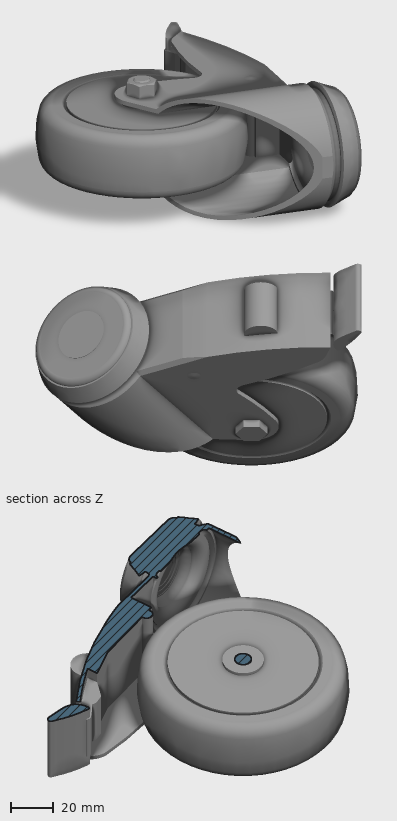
import cadquery as cq
import math


WHEEL_RADIUS = 50.0
TREAD_EDGE_RADIUS = 48.5
TREAD_HALF_WIDTH = 11.0
WHEEL_HALF_WIDTH = 15.8
SIDE_FLAT_RADIUS = 41.8
SHOULDER_BULGE = (46.6, 14.3)
GROOVE_OUTER_RADIUS = 37.4
DISC_RADIUS = 71 / 2
GROOVE_DEPTH = 1.6
GROOVE_FLOOR_WIDTH = 0.5
HUB_RADIUS = 19.5 / 2
HUB_HALF_WIDTH = 17.4
AXLE_RADIUS = 8 / 2

SHEET = 2.1
PLATE_HALF_WIDTH = 20.2
CHANNEL_HALF_WIDTH = PLATE_HALF_WIDTH - SHEET
SWIVEL_X = 43.5
CROWN_RADIUS = 29.8
CROWN_INNER_RADIUS = CROWN_RADIUS - SHEET
FORK_TOP = 69.6
FORK_CEILING = FORK_TOP - SHEET
FORK_BEVEL = 2.0
CROWN_TOP = 70.1
CROWN_REAR_X = 72.9
CROWN_BEND_RADIUS = 26.5
BACK_ARC_CENTRE = (17.1, -99.3)
BACK_ARC_RADIUS = 170.1
AXLE_BOSS_RADIUS = 12.7
BOSS_TANGENT_ANGLE = -57.0
BOSS_MIDDLE_ANGLE = -120.0
FORK_TIP = (-69.6, 46.9)

HEAD_RADIUS = 60.0 / 2
HEAD_BOTTOM = 73.2
HEAD_CONE_TOP = 82.0
CAP_EDGE = 82.5
HEAD_CONE_TOP_RADIUS = 26.5
CAP_RADIUS = 25.6
CAP_FLAT_RADIUS = 22.4
CAP_TOP = 84.6
CAP_BULGE = (24.5, 84.2)
PAD_RADIUS = 12.3
PAD_TOP = 85.0
LIP_RADIUS = 28.0
LIP_BOTTOM = 72.7
COLLAR_RADIUS = 27.1
NECK_RADIUS = 53.7 / 2
NECK_BOTTOM = 71.6
RACE_RADIUS = 47.5 / 2
RACE_BOTTOM = 66.7
RACE_ROUND = 4.8
SOCKET_RADIUS = 31.6 / 2
SOCKET_CONE_TOP = 75.8
SOCKET_CONE_TOP_RADIUS = 12.9
SOCKET_FLOOR = 76.1
SOCKET_FLOOR_RADIUS = 12.3
RECESS_RADII = (20.0 / 2, 7.9)
RECESS_STEP = 0.5

PADDLE_HALF_WIDTH = CHANNEL_HALF_WIDTH
STEM_HALF_WIDTH = 11.8
KNOB_CENTRE = (-40.1, 61.3)
KNOB_RADIUS = 7.9
ARM_START = (-47.5, 50.3)
ARM_END = (4.8, 55.8)
PIVOT = (-0.5, 55.1)
PIVOT_RADIUS = 3.0
PIVOT_DOME = 0.3

HEX_ACROSS_FLATS = 13.0
HEX_CORNER_RADIUS = HEX_ACROSS_FLATS / math.sqrt(3)
HEX_FACE_RADIUS = 12.3 / 2
BOLT_HEAD_END = -24.0
NUT_END = 27.0
BOLT_END = 27.7
BOLT_END_CHAMFER = 0.6

BIG = 322.5


def polar(radius, degrees):
    angle = math.radians(degrees)
    return radius * math.cos(angle), radius * math.sin(angle)


def slab(wire, half_width):
    """Extrudes a closed outline in XY evenly to both sides of the middle plane."""
    return wire.extrude(half_width, both=True)


def rod(radius, z_start, z_end, centre=(0, 0)):
    start = cq.Workplane("XY").workplane(offset=z_start)
    return start.center(*centre).circle(radius).extrude(z_end - z_start)


def swivel_turned(outline):
    """Revolves a closed (radius, height) outline about the swivel axis."""
    return outline.revolve(360, (0, 0, 0), (0, 1, 0)).translate((SWIVEL_X, 0, 0))


def swivel_cylinder(radius, bottom, top):
    corners = [(0, bottom), (radius, bottom), (radius, top), (0, top)]
    return swivel_turned(cq.Workplane("XY").polyline(corners).close())


def make_wheel():
    """Tyre, disc and hub turned about the axle, with a groove round the disc on each side."""
    groove_floor = WHEEL_HALF_WIDTH - GROOVE_DEPTH
    groove_floor_radius = DISC_RADIUS + GROOVE_FLOOR_WIDTH
    section = (
        cq.Workplane("XZ")
        .moveTo(AXLE_RADIUS, -HUB_HALF_WIDTH)
        .lineTo(HUB_RADIUS, -HUB_HALF_WIDTH)
        .lineTo(HUB_RADIUS, -WHEEL_HALF_WIDTH)
        .lineTo(DISC_RADIUS, -WHEEL_HALF_WIDTH)
        .lineTo(DISC_RADIUS, -groove_floor)
        .lineTo(groove_floor_radius, -groove_floor)
        .lineTo(GROOVE_OUTER_RADIUS, -WHEEL_HALF_WIDTH)
        .lineTo(SIDE_FLAT_RADIUS, -WHEEL_HALF_WIDTH)
        .threePointArc((SHOULDER_BULGE[0], -SHOULDER_BULGE[1]), (TREAD_EDGE_RADIUS, -TREAD_HALF_WIDTH))
        .threePointArc((WHEEL_RADIUS, 0), (TREAD_EDGE_RADIUS, TREAD_HALF_WIDTH))
        .threePointArc(SHOULDER_BULGE, (SIDE_FLAT_RADIUS, WHEEL_HALF_WIDTH))
        .lineTo(GROOVE_OUTER_RADIUS, WHEEL_HALF_WIDTH)
        .lineTo(groove_floor_radius, groove_floor)
        .lineTo(DISC_RADIUS, groove_floor)
        .lineTo(DISC_RADIUS, WHEEL_HALF_WIDTH)
        .lineTo(HUB_RADIUS, WHEEL_HALF_WIDTH)
        .lineTo(HUB_RADIUS, HUB_HALF_WIDTH)
        .lineTo(AXLE_RADIUS, HUB_HALF_WIDTH)
        .close()
    )
    return section.revolve(360, (0, 0, 0), (0, 1, 0))


def fork_outline():
    """Side outline of the fork, left open to well above its top and back."""
    boss_middle = polar(AXLE_BOSS_RADIUS, BOSS_MIDDLE_ANGLE)
    boss_end = polar(AXLE_BOSS_RADIUS, BOSS_TANGENT_ANGLE)
    return (
        cq.Workplane("XY")
        .moveTo(*FORK_TIP)
        .lineTo(-63.8, 41.1)
        .threePointArc((-61.3, 39.0), (-58.0, 37.7))
        .threePointArc((-33.9, 35.5), (-15.8, 36.1))
        .threePointArc((-11.6, 34.2), (-10.3, 30.1))
        .threePointArc((-12.3, 15.5), (-AXLE_BOSS_RADIUS, 0))
        .threePointArc(boss_middle, boss_end)
        .lineTo(18.9, -2.9)
        .threePointArc((46.6, 21.0), (CROWN_REAR_X, 62.7))
        .lineTo(CROWN_REAR_X, BIG)
        .lineTo(FORK_TIP[0], BIG)
        .close()
    )


def fork_space(half_width, crown, crown_radius, top, back_radius):
    """Channel and crown together, closed above by the flat top and the back arc."""
    channel_end = SWIVEL_X - math.sqrt(crown_radius**2 - half_width**2)
    channel = cq.Workplane("XY").box(
        channel_end + BIG, top + BIG, 2 * half_width, centered=(False, False, True)
    ).translate((-BIG, -BIG, 0))
    back = rod(back_radius, -CROWN_RADIUS, CROWN_RADIUS, BACK_ARC_CENTRE)
    under_back = back.union(cq.Workplane("XY").box(
        2 * BIG, 3 * BIG, 2 * CROWN_RADIUS, centered=(False, True, True)
    ).translate((BACK_ARC_CENTRE[0], 0, 0)))
    return channel.union(crown).intersect(under_back)


def fork_inside():
    """Open space under the sheet, with a rounded bend where the crown wall meets its ceiling."""
    ledge = FORK_CEILING - SHEET
    bend_sagitta = SHEET * math.sqrt(0.5)
    bend_end_radius = CROWN_BEND_RADIUS - SHEET
    crown = swivel_turned(
        cq.Workplane("XY")
        .moveTo(0, -BIG)
        .lineTo(CROWN_INNER_RADIUS, -BIG)
        .lineTo(CROWN_INNER_RADIUS, ledge)
        .lineTo(CROWN_BEND_RADIUS, ledge)
        .threePointArc((bend_end_radius + bend_sagitta, ledge + bend_sagitta), (bend_end_radius, FORK_CEILING))
        .lineTo(0, FORK_CEILING)
        .close()
    )
    return fork_space(CHANNEL_HALF_WIDTH, crown, CROWN_INNER_RADIUS, FORK_CEILING, BACK_ARC_RADIUS - SHEET)


def bevelled_envelope():
    """Space inside the bevel that runs along the plates and round the crown."""
    shoulder = FORK_TOP - FORK_BEVEL
    half = PLATE_HALF_WIDTH
    section = (
        cq.Workplane("YZ")
        .polyline([(-BIG, -half), (shoulder, -half), (FORK_TOP, FORK_BEVEL - half),
                   (FORK_TOP, half - FORK_BEVEL), (shoulder, half), (-BIG, half)])
        .close()
    )
    plates = section.extrude(SWIVEL_X + BIG).translate((-BIG, 0, 0))
    crown = swivel_turned(
        cq.Workplane("XY")
        .polyline([(0, -BIG), (CROWN_RADIUS, -BIG), (CROWN_RADIUS, shoulder),
                   (CROWN_RADIUS - CROWN_TOP + shoulder, CROWN_TOP), (0, CROWN_TOP)])
        .close()
    )
    return plates.union(crown)


def make_shell():
    crown = swivel_cylinder(CROWN_RADIUS, -BIG, CROWN_TOP)
    outside = fork_space(PLATE_HALF_WIDTH, crown, CROWN_RADIUS, FORK_TOP, BACK_ARC_RADIUS)
    outside = outside.intersect(slab(fork_outline(), CROWN_RADIUS)).intersect(bevelled_envelope())
    return outside.cut(fork_inside())


def make_head():
    return swivel_turned(
        cq.Workplane("XY")
        .moveTo(0, RACE_BOTTOM)
        .lineTo(RACE_RADIUS, RACE_BOTTOM)
        .lineTo(RACE_RADIUS, CROWN_TOP)
        .lineTo(COLLAR_RADIUS, CROWN_TOP)
        .lineTo(NECK_RADIUS, NECK_BOTTOM)
        .lineTo(NECK_RADIUS, LIP_BOTTOM)
        .lineTo(LIP_RADIUS, LIP_BOTTOM)
        .lineTo(HEAD_RADIUS, HEAD_BOTTOM)
        .lineTo(HEAD_CONE_TOP_RADIUS, HEAD_CONE_TOP)
        .lineTo(CAP_RADIUS, HEAD_CONE_TOP)
        .lineTo(CAP_RADIUS, CAP_EDGE)
        .threePointArc(CAP_BULGE, (CAP_FLAT_RADIUS, CAP_TOP))
        .lineTo(PAD_RADIUS, CAP_TOP)
        .lineTo(PAD_RADIUS, PAD_TOP)
        .lineTo(0, PAD_TOP)
        .close()
    )


def socket():
    """Rounded entry, cone and stepped floor of the recess under the head."""
    mouth_radius = SOCKET_RADIUS + RACE_ROUND
    corner = RACE_ROUND * (1 - math.sqrt(0.5))
    recess = swivel_turned(
        cq.Workplane("XY")
        .moveTo(0, RACE_BOTTOM)
        .lineTo(mouth_radius, RACE_BOTTOM)
        .threePointArc((SOCKET_RADIUS + corner, RACE_BOTTOM + corner),
                       (SOCKET_RADIUS, RACE_BOTTOM + RACE_ROUND))
        .lineTo(SOCKET_CONE_TOP_RADIUS, SOCKET_CONE_TOP)
        .lineTo(SOCKET_FLOOR_RADIUS, SOCKET_CONE_TOP)
        .lineTo(SOCKET_FLOOR_RADIUS, SOCKET_FLOOR)
        .lineTo(0, SOCKET_FLOOR)
        .close()
    )
    for step, radius in enumerate(RECESS_RADII, start=1):
        recess = recess.union(swivel_cylinder(radius, RACE_BOTTOM, SOCKET_FLOOR + step * RECESS_STEP))
    return recess


def make_lever():
    """Foot paddle, stepped stem and arm under the fork's back, and the release knob above it."""
    paddle = slab(
        cq.Workplane("XY")
        .moveTo(-82.2, 45.1)
        .lineTo(-83.8, 46.3)
        .lineTo(-84.8, 46.9)
        .lineTo(-86.1, 47.7)
        .lineTo(-87.5, 48.8)
        .threePointArc((-87.4, 50.6), (-85.8, 51.5))
        .spline([(-80.0, 50.5), (-71.3, 46.9), (-69.5, 43.9), (-69.2, 39.3)], includeCurrent=True)
        .lineTo(-70.3, 39.3)
        .lineTo(-71.9, 40.0)
        .threePointArc((-77.0, 42.2), (-82.2, 45.1))
        .close(),
        PADDLE_HALF_WIDTH,
    )
    stem = slab(
        cq.Workplane("XY")
        .moveTo(-71.6, 39.7)
        .threePointArc((-70.1, 38.7), (-68.5, 39.0))
        .lineTo(-64.0, 41.6)
        .lineTo(-61.6, 43.5)
        .threePointArc((-60.5, 42.9), (-58.7, 42.5))
        .lineTo(-56.7, 42.9)
        .lineTo(-54.3, 43.2)
        .lineTo(*ARM_START)
        .lineTo(ARM_START[0], BIG)
        .lineTo(-68.2, BIG)
        .lineTo(-69.2, 43.9)
        .close(),
        STEM_HALF_WIDTH,
    )
    arm = slab(
        cq.Workplane("XY")
        .polyline([ARM_START, (-32.9, 54.7), ARM_END, (ARM_END[0], BIG), (ARM_START[0], BIG)])
        .close(),
        CHANNEL_HALF_WIDTH,
    )
    knob = slab(cq.Workplane("XY").center(*KNOB_CENTRE).circle(KNOB_RADIUS), STEM_HALF_WIDTH)
    inner_parts = stem.union(arm).intersect(fork_inside())
    return inner_parts.union(paddle).union(knob)


def make_pivot():
    pin = slab(cq.Workplane("XY").circle(PIVOT_RADIUS), PLATE_HALF_WIDTH)
    dome = (
        cq.Workplane("XZ")
        .moveTo(0, PLATE_HALF_WIDTH)
        .lineTo(PIVOT_RADIUS, PLATE_HALF_WIDTH)
        .lineTo(0, PLATE_HALF_WIDTH + PIVOT_DOME)
        .close()
        .revolve(360, (0, 0, 0), (0, 1, 0))
    )
    return pin.union(dome).union(dome.mirror("XY")).translate((*PIVOT, 0))


def hexagon(z_start, z_end):
    corners = [polar(HEX_CORNER_RADIUS, angle) for angle in range(30, 390, 60)]
    return cq.Workplane("XY").workplane(offset=z_start).polyline(corners).close().extrude(z_end - z_start)


def make_axle_bolt():
    bolt = rod(AXLE_RADIUS, BOLT_HEAD_END, BOLT_END).faces(">Z").chamfer(BOLT_END_CHAMFER)
    corner_depth = HEX_CORNER_RADIUS - HEX_FACE_RADIUS
    rounding = rod(HEX_CORNER_RADIUS, PLATE_HALF_WIDTH, NUT_END)
    rounding = rounding.faces(">Z").chamfer(corner_depth / 2, corner_depth)
    nut = hexagon(PLATE_HALF_WIDTH, NUT_END).intersect(rounding)
    head = hexagon(BOLT_HEAD_END, -PLATE_HALF_WIDTH)
    return bolt.union(nut).union(head)


def make_fork():
    """Fork, swivel head, brake lever and axle bolt as one rigid body."""
    frame = make_shell().union(make_head()).cut(socket())
    return frame.union(make_lever()).union(make_pivot()).union(make_axle_bolt())


wheel = make_wheel()
fork = make_fork()
result = cq.Compound.makeCompound([fork.solids().val(), wheel.val()])